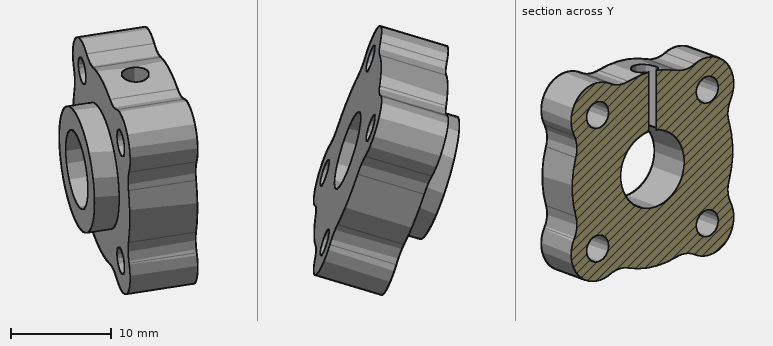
import cadquery as cq
import math

INCH = 25.4
total_length = 0.375 * INCH
hub_length = 0.1 * INCH
flange_thickness = total_length - hub_length
hub_diameter = 0.5 * INCH
bore_diameter = 7.95

flange_width = 0.81 * INCH
bolt_circle_diameter = 0.77 * INCH
body_radius = 0.4 * INCH
blend_radius = 3.0
screw_hole_diameter = 2.7

lobe_count = 4
lobe_distance = bolt_circle_diameter / 2
bolt_offset = lobe_distance / math.sqrt(2)
lobe_radius = flange_width / 2 - bolt_offset


def polar(radius, angle):
    """Point at the given radius and angle about the bore axis."""
    return (radius * math.cos(angle), radius * math.sin(angle))


def flange_outline():
    """Closed outline of four round lobes blended into a round body."""
    body_to_blend = body_radius + blend_radius
    lobe_to_blend = lobe_radius + blend_radius
    cos_at_bore = (lobe_distance**2 + body_to_blend**2 - lobe_to_blend**2) / (
        2 * lobe_distance * body_to_blend
    )
    blend_angle = math.acos(cos_at_bore)

    blend_x, blend_y = polar(body_to_blend, blend_angle)
    lobe_share = lobe_radius / lobe_to_blend
    tangent_x = lobe_distance + (blend_x - lobe_distance) * lobe_share
    tangent_y = blend_y * lobe_share
    tangent_distance = math.hypot(tangent_x, tangent_y)
    tangent_angle = math.atan2(tangent_y, tangent_x)

    to_bore = math.atan2(-blend_y, -blend_x)
    to_lobe = math.atan2(-blend_y, lobe_distance - blend_x)
    mid_offset_x, mid_offset_y = polar(blend_radius, (to_bore + to_lobe) / 2)
    mid_x = blend_x + mid_offset_x
    mid_y = blend_y + mid_offset_y
    mid_distance = math.hypot(mid_x, mid_y)
    mid_angle = math.atan2(mid_y, mid_x)

    lobe_step = 2 * math.pi / lobe_count
    first_lobe = lobe_step / 2
    outline = cq.Workplane("XZ").moveTo(*polar(body_radius, first_lobe - blend_angle))
    for index in range(lobe_count):
        lobe = first_lobe + index * lobe_step
        side_middle = polar(body_radius, lobe + lobe_step / 2)
        side_end = polar(body_radius, lobe + lobe_step - blend_angle)
        lobe_start = polar(tangent_distance, lobe - tangent_angle)
        lobe_tip = polar(lobe_distance + lobe_radius, lobe)
        lobe_end = polar(tangent_distance, lobe + tangent_angle)
        outline = (
            outline
            .threePointArc(polar(mid_distance, lobe - mid_angle), lobe_start)
            .threePointArc(lobe_tip, lobe_end)
            .threePointArc(polar(mid_distance, lobe + mid_angle), polar(body_radius, lobe + blend_angle))
            .threePointArc(side_middle, side_end)
        )
    return outline.close()


def bolt_holes():
    """Four holes through the flange, one in the centre of each lobe."""
    return (
        cq.Workplane("XZ")
        .rect(2 * bolt_offset, 2 * bolt_offset, forConstruction=True)
        .vertices()
        .circle(screw_hole_diameter / 2)
        .extrude(flange_thickness)
    )


def set_screw_hole():
    """Radial hole from the bore axis out through the top side, at mid flange."""
    return (
        cq.Workplane("XY")
        .center(0, -flange_thickness / 2)
        .circle(screw_hole_diameter / 2)
        .extrude(flange_width / 2)
    )


flange = flange_outline().extrude(flange_thickness)
hub = cq.Workplane("XZ").circle(hub_diameter / 2).extrude(total_length)
bore = cq.Workplane("XZ").circle(bore_diameter / 2).extrude(total_length)

result = flange.union(hub).cut(bore).cut(bolt_holes()).cut(set_screw_hole())